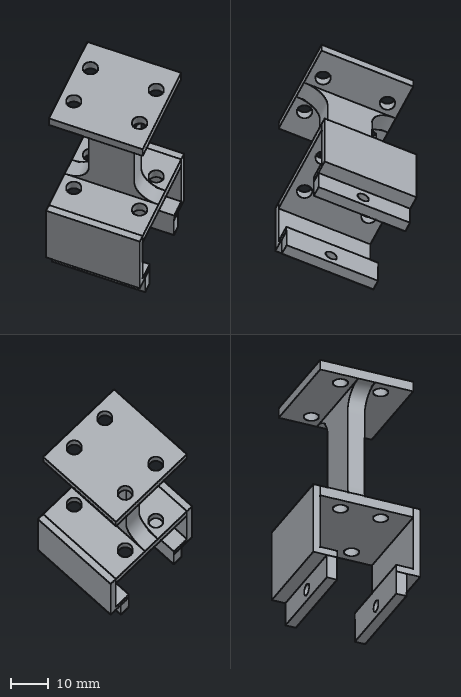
import cadquery as cq

WIDTH = 26.8
DEPTH = 31.0
HEIGHT = 67.0

PLATE_THICKNESS = 3.0
BRACKET_THICKNESS = 2.0
PLATE_DEPTH = DEPTH - 2 * BRACKET_THICKNESS
LOWER_PLATE_TOP = 27.95
WEB_WIDTH = 13.0
WEB_THICKNESS = 4.9
WEB_FILLET = 6.5
SELECT_MARGIN = 0.7
PLATE_HOLE_DIAMETER = 4.0
HOLE_SPACING_X = 18.75
HOLE_SPACING_Y = 11.65

LEDGE_REACH = 7.0
FOOT_THICKNESS = 3.0
FOOT_HEIGHT = 6.9
FOOT_END_INSET = 0.1
FOOT_HOLE_DIAMETER = 3.2
FOOT_HOLE_X = 0.35

UPPER_PLATE_BOTTOM = HEIGHT - PLATE_THICKNESS
LOWER_PLATE_BOTTOM = LOWER_PLATE_TOP - PLATE_THICKNESS


def block(size_x, y_min, y_max, z_min, z_max):
    """Box centred on X, spanning the given Y and Z ranges."""
    return (
        cq.Workplane("XY")
        .box(size_x, y_max - y_min, z_max - z_min, centered=(True, False, False))
        .translate((0, y_min, z_min))
    )


def make_plate(z_bottom):
    """Flat plate with four through holes."""
    plate = block(WIDTH, -PLATE_DEPTH / 2, PLATE_DEPTH / 2, z_bottom, z_bottom + PLATE_THICKNESS)
    return (
        plate.faces(">Z").workplane(origin=(0, 0, 0))
        .rarray(HOLE_SPACING_X, HOLE_SPACING_Y, 2, 2)
        .hole(PLATE_HOLE_DIAMETER)
    )


def make_post():
    """Upper and lower plates joined by a web with filleted side faces."""
    web = block(WEB_WIDTH, -WEB_THICKNESS / 2, WEB_THICKNESS / 2, LOWER_PLATE_TOP, UPPER_PLATE_BOTTOM)
    post = make_plate(LOWER_PLATE_BOTTOM).union(web).union(make_plate(UPPER_PLATE_BOTTOM))

    web_box = cq.selectors.BoxSelector(
        (-WEB_WIDTH / 2 - SELECT_MARGIN, -WEB_THICKNESS, LOWER_PLATE_BOTTOM),
        (WEB_WIDTH / 2 + SELECT_MARGIN, WEB_THICKNESS, HEIGHT),
    )
    return post.edges("|Y").edges(web_box).fillet(WEB_FILLET)


def make_bracket(side):
    """Bracket against the lower plate edge; side is -1 for -Y and +1 for +Y."""
    outer = -DEPTH / 2
    tip = outer + LEDGE_REACH
    wall = block(WIDTH, outer, outer + BRACKET_THICKNESS, FOOT_HEIGHT, LOWER_PLATE_TOP)
    ledge = block(WIDTH, outer, tip, FOOT_HEIGHT, FOOT_HEIGHT + BRACKET_THICKNESS)
    foot = block(WIDTH - 2 * FOOT_END_INSET, tip - FOOT_THICKNESS, tip, 0, FOOT_HEIGHT)
    foot_hole = (
        cq.Workplane("XZ", origin=(FOOT_HOLE_X, tip, FOOT_HEIGHT / 2))
        .circle(FOOT_HOLE_DIAMETER / 2)
        .extrude(FOOT_THICKNESS)
    )
    bracket = wall.union(ledge).union(foot.cut(foot_hole)).clean()
    return bracket if side < 0 else bracket.mirror("XZ")


post = make_post()
brackets = [make_bracket(side) for side in (-1, 1)]

result = cq.Compound.makeCompound([post.val(), *[bracket.val() for bracket in brackets]])